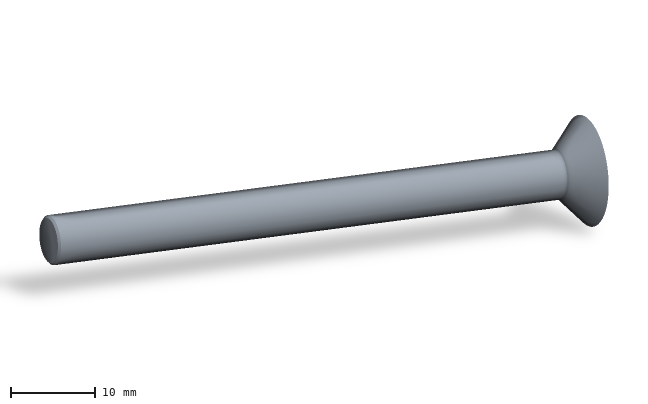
import cadquery as cq

total_length = 70.0
head_diameter = 13.45
shank_diameter = 6.0
tip_chamfer = 0.3

head_radius = head_diameter / 2
shank_radius = shank_diameter / 2
head_height = head_radius - shank_radius

half_profile = (
    cq.Workplane("XY")
    .moveTo(0, 0)
    .lineTo(shank_radius - tip_chamfer, 0)
    .lineTo(shank_radius, tip_chamfer)
    .lineTo(shank_radius, total_length - head_height)
    .lineTo(head_radius, total_length)
    .lineTo(0, total_length)
    .close()
)

result = half_profile.revolve(360, (0, 0, 0), (0, 1, 0))